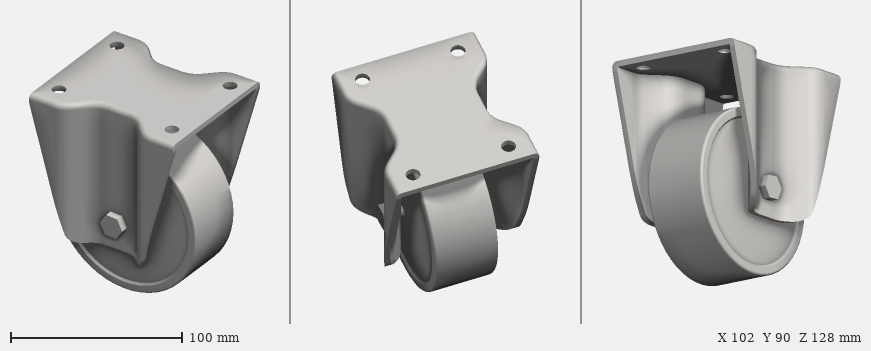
import cadquery as cq
import math


wheel_radius = 50.0
wheel_width = 40.0
tread_edge_radius = 1.5
recess_radius = 44.8
recess_depth = 1.3
dome_width = 42.0

axle_diameter = 8.0
hex_across_corners = 15.7
hex_tilt = -4.0
hex_height = 5.0

overall_height = 128.0
fork_length = 102.0
fork_width = 90.0
sheet = 3.6
top_z = overall_height - wheel_radius
fork_bottom_z = -17.2
top_edge_radius = 3.5

waist_half_width = 29.6
waist_straight = 13.6
bend_angle = 45.0
convex_bend_radius = 14.5
concave_bend_radius = 15.6

leg_bottom_half_length = 25.2
taper_drop = 4.9
shoulder_radius = 10.0
leg_corner_radius = 10.0

hole_diameter = 8.7
hole_spacing_x = 80.0
hole_spacing_y = 60.0


def edge_points():
    """Points along one quarter of the outer edge, from the waist to the straight end."""
    half_y = fork_width / 2
    bend = math.radians(bend_angle)
    waist_end_x = waist_straight / 2

    def on_concave_bend(angle):
        return (
            waist_end_x + concave_bend_radius * math.sin(angle),
            waist_half_width + concave_bend_radius * (1 - math.cos(angle)),
        )

    slope_start_x, slope_start_y = on_concave_bend(bend)
    slope_end_y = half_y - convex_bend_radius * (1 - math.cos(bend))
    slope_end_x = slope_start_x + (slope_end_y - slope_start_y) / math.tan(bend)
    flat_start_x = slope_end_x + convex_bend_radius * math.sin(bend)

    def on_convex_bend(angle):
        return (
            flat_start_x - convex_bend_radius * math.sin(angle),
            half_y - convex_bend_radius * (1 - math.cos(angle)),
        )

    return [
        (waist_end_x, waist_half_width),
        on_concave_bend(bend / 2),
        on_concave_bend(bend),
        on_convex_bend(bend),
        on_convex_bend(bend / 2),
        on_convex_bend(0),
    ]


def waisted_outline(workplane, half_length):
    """Closed waisted outline, symmetric about both axes, with straight ends."""
    half_y = fork_width / 2

    def draw_side(outline, side):
        """Draw the +Y side from right to left (side 1) or the -Y side from left to right (side -1)."""
        arriving = [(side * x, side * y) for x, y in edge_points()]
        waist_end, concave_middle, slope_start, slope_end, convex_middle, flat_start = arriving
        outline = (
            outline.lineTo(*flat_start)
            .threePointArc(convex_middle, slope_end)
            .lineTo(*slope_start)
            .threePointArc(concave_middle, waist_end)
        )
        leaving = [(-x, y) for x, y in arriving]
        waist_end, concave_middle, slope_start, slope_end, convex_middle, flat_start = leaving
        return (
            outline.lineTo(*waist_end)
            .threePointArc(concave_middle, slope_start)
            .lineTo(*slope_end)
            .threePointArc(convex_middle, flat_start)
            .lineTo(-side * half_length, side * half_y)
        )

    outline = draw_side(workplane.moveTo(half_length, half_y), 1)
    outline = draw_side(outline.lineTo(-half_length, -half_y), -1)
    return outline.close()


def make_fork_shell():
    """Top plate and two legs of even thickness, open at both ends and below."""
    height = top_z - fork_bottom_z
    long_half = fork_length / 2 + 2 * sheet
    base = cq.Workplane("XY", origin=(0, 0, fork_bottom_z))
    outer = waisted_outline(base, long_half).extrude(height)
    outer = outer.faces(">Z").edges("not |Y").fillet(top_edge_radius)
    inner = waisted_outline(base, long_half).offset2D(-sheet).extrude(height - sheet)
    return outer.cut(inner)


def make_side_profile():
    """Side shape of the legs: short upright ends, then a taper to a rounded bottom."""
    half_x = fork_length / 2
    corner_z = top_z - taper_drop
    profile = (
        cq.Workplane("XZ")
        .polyline([
            (half_x, top_z),
            (half_x, corner_z),
            (leg_bottom_half_length, fork_bottom_z),
            (-leg_bottom_half_length, fork_bottom_z),
            (-half_x, corner_z),
            (-half_x, top_z),
        ])
        .close()
        .extrude(fork_width, both=True)
    )
    shoulder_edges = cq.selectors.BoxSelector(
        (-fork_length, -fork_length, corner_z - sheet),
        (fork_length, fork_length, top_z - sheet),
    )
    profile = profile.edges("|Y").edges(shoulder_edges).fillet(shoulder_radius)
    return profile.faces("<Z").edges("|Y").fillet(leg_corner_radius)


def make_fork():
    fork = make_fork_shell().intersect(make_side_profile())
    holes = (
        cq.Workplane("XY", origin=(0, 0, top_z))
        .rect(hole_spacing_x, hole_spacing_y, forConstruction=True)
        .vertices()
        .circle(hole_diameter / 2)
        .extrude(-sheet)
    )
    return fork.cut(holes)


def make_wheel():
    """Wheel turned about Y, with rounded tread edges and a domed disc recessed in each face."""
    half_width = wheel_width / 2
    half_dome = dome_width / 2
    disc_radius = recess_radius - recess_depth
    recess_floor = half_width - recess_depth
    dome_height = half_dome - recess_floor
    dome_radius = (disc_radius**2 + dome_height**2) / (2 * dome_height)
    dome_middle_x = disc_radius / 2
    dome_middle = half_dome - dome_radius + math.sqrt(dome_radius**2 - dome_middle_x**2)
    corner_inset = tread_edge_radius * (1 - math.sin(math.radians(45)))
    return (
        cq.Workplane("XY")
        .moveTo(0, -half_dome)
        .threePointArc((dome_middle_x, -dome_middle), (disc_radius, -recess_floor))
        .lineTo(recess_radius, -half_width)
        .lineTo(wheel_radius - tread_edge_radius, -half_width)
        .threePointArc(
            (wheel_radius - corner_inset, corner_inset - half_width),
            (wheel_radius, tread_edge_radius - half_width),
        )
        .lineTo(wheel_radius, half_width - tread_edge_radius)
        .threePointArc(
            (wheel_radius - corner_inset, half_width - corner_inset),
            (wheel_radius - tread_edge_radius, half_width),
        )
        .lineTo(recess_radius, half_width)
        .lineTo(disc_radius, recess_floor)
        .threePointArc((dome_middle_x, dome_middle), (0, half_dome))
        .close()
        .revolve(360, (0, 0, 0), (0, 1, 0))
    )


def make_axle():
    """Round axle between the legs with a hexagonal end outside each leg."""
    axle = cq.Workplane("XZ").circle(axle_diameter / 2).extrude(waist_half_width, both=True)
    for seat_y, height in ((-waist_half_width, hex_height), (waist_half_width, -hex_height)):
        hexagon = (
            cq.Workplane("XZ", origin=(0, seat_y, 0))
            .polygon(6, hex_across_corners)
            .extrude(height)
            .rotate((0, 0, 0), (0, 1, 0), -hex_tilt)
        )
        axle = axle.union(hexagon)
    return axle


result = make_fork().union(make_axle()).union(make_wheel())